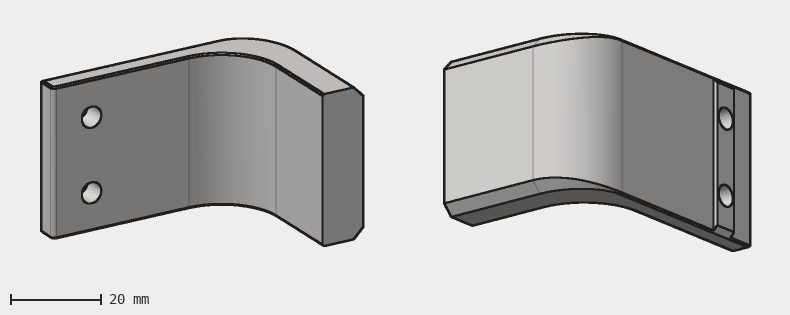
import cadquery as cq

length_x = 40.0
length_y = 59.5
height = 36.25
top = height / 2

rib_height = 1.0
wall_thickness = 5.0
back_thickness = 10.5
bend_radius = 14.0
end_fillet = 1.0

edge_chamfer = 0.4
heel_chamfer = 2.5

rib_width = 6.0
rib_center_y = 10.0
hole_diameter = 5.0
hole_spacing = 18.0

wall_outer_x = rib_height
wall_inner_x = wall_outer_x + wall_thickness
back_inner_y = length_y - back_thickness
bend_center_x = wall_outer_x + bend_radius
bend_center_y = length_y - bend_radius


def nearest_edge(x, y):
    return cq.selectors.NearestToPointSelector((x, y, 0))


def make_bar():
    """L-shaped bar with a rounded bend and chamfers along its inner and end edges."""
    bar = (
        cq.Workplane("XY")
        .workplane(offset=-top)
        .moveTo(wall_outer_x, 0)
        .lineTo(wall_inner_x, 0)
        .lineTo(wall_inner_x, back_inner_y)
        .lineTo(length_x, back_inner_y)
        .lineTo(length_x, length_y)
        .lineTo(wall_outer_x, length_y)
        .close()
        .extrude(height)
    )
    bar = bar.edges("|Z").edges(nearest_edge(wall_inner_x, back_inner_y)).fillet(bend_radius)
    bar = bar.edges("|Z").edges(nearest_edge(wall_inner_x, 0)).fillet(end_fillet)
    bar = bar.faces("<Z or >Z").edges("not(<X or >X or >Y)").chamfer(edge_chamfer)
    return bar.edges("|Z").edges(nearest_edge(wall_outer_x, length_y)).fillet(bend_radius)


def make_rib():
    """Full-height rib on the outer face, sunk halfway into the wall."""
    depth = wall_outer_x + wall_thickness / 2
    return cq.Workplane("XY", origin=(depth / 2, rib_center_y, 0)).box(depth, rib_width, height)


def make_slope_envelope():
    """Block whose outer sides slope at 45 degrees, away from the top and the bottom.

    The bend corner is a quarter ellipse, so the slope grows from the wall's
    narrow chamfer to the wide one on the back.
    """
    margin = bend_radius

    def draw_outline(plane, growth):
        radius_x = bend_radius - edge_chamfer + growth
        radius_y = bend_radius - heel_chamfer + growth
        return (
            plane.moveTo(length_x + margin, -margin)
            .lineTo(length_x + margin, bend_center_y + radius_y)
            .lineTo(bend_center_x, bend_center_y + radius_y)
            .ellipseArc(radius_x, radius_y, 90, 180)
            .lineTo(bend_center_x - radius_x, -margin)
            .close()
        )

    middle = draw_outline(cq.Workplane("XY"), top)
    upper_half = draw_outline(middle.workplane(offset=top), 0).loft(ruled=True)
    return upper_half.union(upper_half.mirror("XY"))


def make_holes():
    """Two screw holes through the rib and the wall."""
    return (
        cq.Workplane("YZ")
        .pushPoints([(rib_center_y, -hole_spacing / 2), (rib_center_y, hole_spacing / 2)])
        .circle(hole_diameter / 2)
        .extrude(wall_inner_x)
    )


bracket = make_bar().union(make_rib())
result = bracket.intersect(make_slope_envelope()).cut(make_holes())